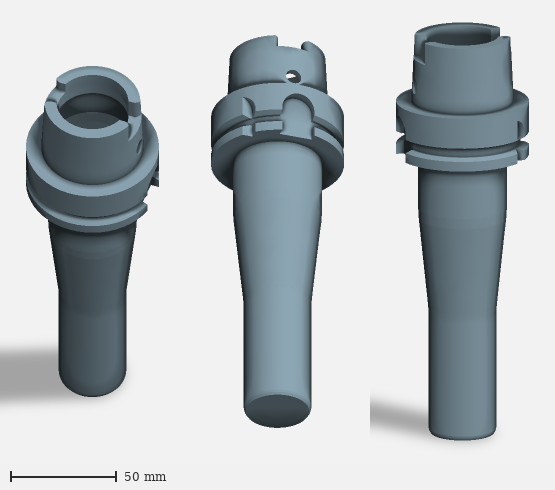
import cadquery as cq
import math


flange_radius = 62.94 / 2
head_height = 31.9
head_base_radius = 24.25
head_top_radius = 22.7

flange_height = 26.0
groove_center_depth = 18.0
groove_width = 3.9
groove_radius = 27.5
groove_lip_width = 2.6
groove_lip_height = 1.3

upper_tail_radius = 42 / 2
lower_tail_radius = 32 / 2
tail_bottom = -163.0
cone_start = -54.9
cone_end = -103.1
tail_blend_radius = 50.0
tail_chamfer_height = 2.2
tail_chamfer_width = 1.0
tail_chamfer_break_height = 1.1
tail_chamfer_break_width = 0.3

bore_radius = 34.05 / 2
recess_radius = 40.08 / 2
bore_floor_radius = 32 / 2
bore_entry_depth = 13.0
recess_floor_slope = math.radians(30)
recess_bottom_depth = 30.0
cross_hole_diameter = 7.5
cross_hole_height = 9.0

drive_slot_width = 12.5
drive_slot_post_radius = 3.0
drive_slot_round_start = 18.2
left_slot_depth = 6.2
left_slot_fillet = 1.0
right_slot_depth = 10.2

keyway_width = 16.0
keyway_floor = 26.5
arch_center_depth = 13.0
notch_width = 18.0
notch_side = 19.5
notch_floor = 20.0


def revolved(points):
    """Solid of revolution about Z from (radius, height) points."""
    return cq.Workplane("XZ").polyline(points).close().revolve(360, (0, 0), (0, 1))


def make_body():
    head = revolved([
        (0, 0),
        (head_base_radius, 0),
        (head_top_radius, head_height),
        (0, head_height),
    ])
    groove_top = -groove_center_depth + groove_width / 2
    groove_bottom = -groove_center_depth - groove_width / 2
    lip_radius = flange_radius - groove_lip_width
    flange = revolved([
        (0, 0),
        (flange_radius, 0),
        (flange_radius, groove_top + groove_lip_height),
        (lip_radius, groove_top),
        (groove_radius, groove_top),
        (groove_radius, groove_bottom),
        (lip_radius, groove_bottom),
        (flange_radius, groove_bottom - groove_lip_height),
        (flange_radius, -flange_height),
        (0, -flange_height),
    ])
    return head.union(flange).union(make_tail())


def make_tail():
    tail = revolved([
        (0, -flange_height),
        (upper_tail_radius, -flange_height),
        (upper_tail_radius, cone_start),
        (lower_tail_radius, cone_end),
        (lower_tail_radius, tail_bottom + tail_chamfer_height),
        (lower_tail_radius - tail_chamfer_break_width, tail_bottom + tail_chamfer_break_height),
        (lower_tail_radius - tail_chamfer_width, tail_bottom),
        (0, tail_bottom),
    ])
    for height in (cone_start, cone_end):
        corner = cq.selectors.BoxSelector(
            (-flange_radius, -flange_radius, height - 1),
            (flange_radius, flange_radius, height + 1),
        )
        tail = tail.edges(corner).fillet(tail_blend_radius)
    return tail


def make_bore():
    entry_end = head_height - bore_entry_depth
    recess_end = head_height - recess_bottom_depth
    floor = recess_end - (recess_radius - bore_floor_radius) * math.tan(recess_floor_slope)
    return revolved([
        (0, head_height),
        (bore_radius, head_height),
        (bore_radius, entry_end),
        (recess_radius, entry_end),
        (recess_radius, recess_end),
        (bore_floor_radius, floor),
        (0, floor),
    ])


def make_cross_hole():
    return (
        cq.Workplane("YZ")
        .center(0, cross_hole_height)
        .circle(cross_hole_diameter / 2)
        .extrude(flange_radius, both=True)
    )


def make_drive_slot(depth):
    """Slot cutter on the +X side; the posts beside it are rounded at their outer corners."""
    half = drive_slot_width / 2
    wide = half + drive_slot_post_radius
    round_end = drive_slot_round_start + drive_slot_post_radius
    return (
        cq.Workplane("XY")
        .workplane(offset=head_height - depth)
        .moveTo(0, -half)
        .lineTo(drive_slot_round_start, -half)
        .radiusArc((round_end, -wide), drive_slot_post_radius)
        .lineTo(flange_radius, -wide)
        .lineTo(flange_radius, wide)
        .lineTo(round_end, wide)
        .radiusArc((drive_slot_round_start, half), drive_slot_post_radius)
        .lineTo(0, half)
        .close()
        .extrude(depth)
    )


def make_arched_slot(center_y, width, floor):
    """Slot cutter on the +X side with a round upper end, open at the flange underside."""
    half = width / 2
    return (
        cq.Workplane("YZ")
        .workplane(offset=floor)
        .moveTo(center_y - half, -flange_height)
        .lineTo(center_y - half, -arch_center_depth)
        .threePointArc((center_y, half - arch_center_depth), (center_y + half, -arch_center_depth))
        .lineTo(center_y + half, -flange_height)
        .close()
        .extrude(flange_radius - floor)
    )


def on_minus_x(cutter):
    return cutter.mirror("YZ")


left_slot = make_drive_slot(left_slot_depth).faces("<Z").edges("not(|Y)").fillet(left_slot_fillet)
keyway = make_arched_slot(0, keyway_width, keyway_floor)
notch = make_arched_slot(notch_side + notch_width / 2, notch_width, notch_floor)

result = (
    make_body()
    .cut(make_bore())
    .cut(make_cross_hole())
    .cut(make_drive_slot(right_slot_depth))
    .cut(on_minus_x(left_slot))
    .cut(keyway)
    .cut(on_minus_x(keyway))
    .cut(on_minus_x(notch))
)